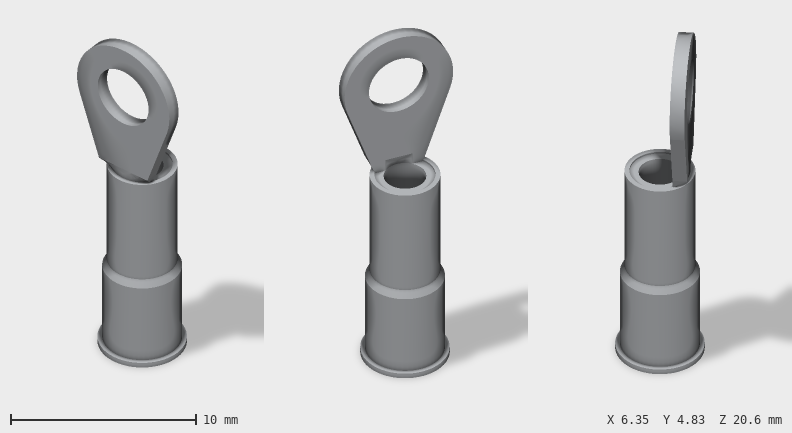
import cadquery as cq
import math

flange_diameter = 4.83
flange_radius = flange_diameter / 2
flange_height = 0.3
entry_radius = 2.15
entry_top = 5.15
sleeve_radius = 1.91
shoulder_top = 5.57
sleeve_top = 11.95
barrel_radius = 1.65
barrel_recess = 0.1
barrel_top = sleeve_top - barrel_recess
bore_radius = 1.15

total_height = 20.57
ring_diameter = 6.35
ring_radius = ring_diameter / 2
stud_hole_radius = 1.75
tongue_back_y = -0.85
tongue_front_y = -1.65
tongue_bottom = 12.55
tongue_half_width = 1.67
ring_center_z = total_height - ring_radius

neck_corner_y = -0.97


def half_chord(radius, y):
    """Half the width of a circle about Z at the given Y."""
    return math.sqrt(radius**2 - y**2)


def make_sleeve():
    """Stepped sleeve around a slightly recessed barrel, bored right through."""
    outline = [
        (bore_radius, 0),
        (flange_radius, 0),
        (flange_radius, flange_height),
        (entry_radius, flange_height),
        (entry_radius, entry_top),
        (sleeve_radius, shoulder_top),
        (sleeve_radius, sleeve_top),
        (barrel_radius, sleeve_top),
        (barrel_radius, barrel_top),
        (bore_radius, barrel_top),
    ]
    return cq.Workplane("XZ").polyline(outline).close().revolve(360, (0, 0), (0, 1))


def make_tongue():
    """Round eye whose tangent sides taper to the tongue's bottom edge."""
    drop = ring_center_z - tongue_bottom
    corner_distance = math.hypot(tongue_half_width, drop)
    tangent_angle = math.acos(ring_radius / corner_distance) - math.atan2(drop, tongue_half_width)
    tangent_x = ring_radius * math.cos(tangent_angle)
    tangent_z = ring_center_z + ring_radius * math.sin(tangent_angle)
    return (
        cq.Workplane("XZ", origin=(0, tongue_back_y, 0))
        .moveTo(-tongue_half_width, tongue_bottom)
        .lineTo(tongue_half_width, tongue_bottom)
        .lineTo(tangent_x, tangent_z)
        .threePointArc((0, total_height), (-tangent_x, tangent_z))
        .close()
        .moveTo(0, ring_center_z)
        .circle(stud_hole_radius)
        .extrude(tongue_back_y - tongue_front_y)
    )


def make_neck():
    """Transition from a segment of the barrel wall to the tongue's rectangular end."""
    inner_x = half_chord(bore_radius, tongue_back_y)
    outer_x = half_chord(barrel_radius, tongue_back_y)
    corner_x = half_chord(barrel_radius, neck_corner_y)
    side_y = (tongue_back_y + neck_corner_y) / 2
    side_x = half_chord(barrel_radius, side_y)
    barrel_wall = (
        cq.Workplane("XY", origin=(0, 0, barrel_top))
        .moveTo(-outer_x, tongue_back_y)
        .lineTo(-inner_x, tongue_back_y)
        .threePointArc((0, -bore_radius), (inner_x, tongue_back_y))
        .lineTo(outer_x, tongue_back_y)
        .threePointArc((side_x, side_y), (corner_x, neck_corner_y))
        .threePointArc((0, -barrel_radius), (-corner_x, neck_corner_y))
        .threePointArc((-side_x, side_y), (-outer_x, tongue_back_y))
        .wire()
    )
    tongue_end = (
        cq.Workplane("XY", origin=(0, 0, tongue_bottom))
        .moveTo(-tongue_half_width, tongue_back_y)
        .lineTo(-inner_x, tongue_back_y)
        .lineTo(inner_x, tongue_back_y)
        .lineTo(tongue_half_width, tongue_back_y)
        .lineTo(tongue_half_width, tongue_front_y)
        .lineTo(-tongue_half_width, tongue_front_y)
        .close()
    )
    return cq.Workplane(cq.Solid.makeLoft([barrel_wall.val(), tongue_end.val()], True))


result = make_sleeve().union(make_neck()).union(make_tongue())